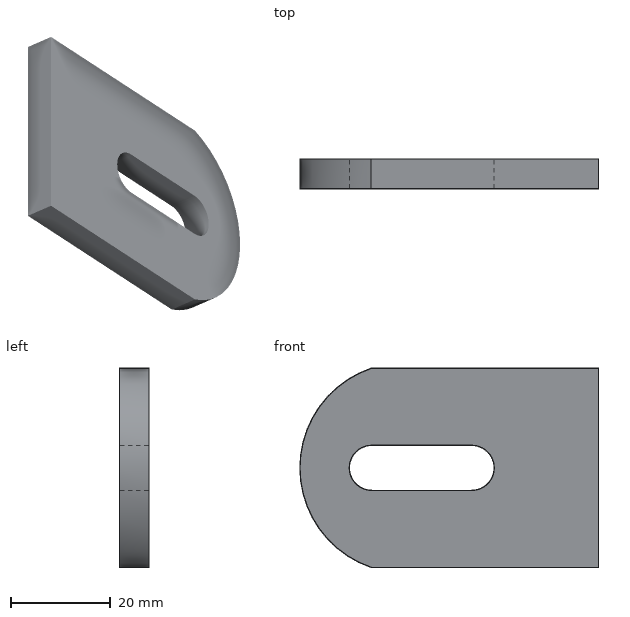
import cadquery as cq

length = 59.95
height = 40.0
thickness = 6.0
nose_depth = 14.3

slot_length = 29.0
slot_width = 9.0
slot_offset = 9.95

half_height = height / 2
slot_center_x = slot_offset + slot_length / 2


def plate():
    """Upright plate with its rounded nose tip at X = 0."""
    return (
        cq.Workplane("XZ")
        .moveTo(nose_depth, -half_height)
        .lineTo(length, -half_height)
        .lineTo(length, half_height)
        .lineTo(nose_depth, half_height)
        .threePointArc((0, 0), (nose_depth, -half_height))
        .close()
        .extrude(thickness / 2, both=True)
    )


def slot():
    """Tool body that cuts the slot through the full thickness."""
    return (
        cq.Workplane("XZ")
        .center(slot_center_x, 0)
        .slot2D(slot_length, slot_width)
        .extrude(thickness, both=True)
    )


result = plate().cut(slot())